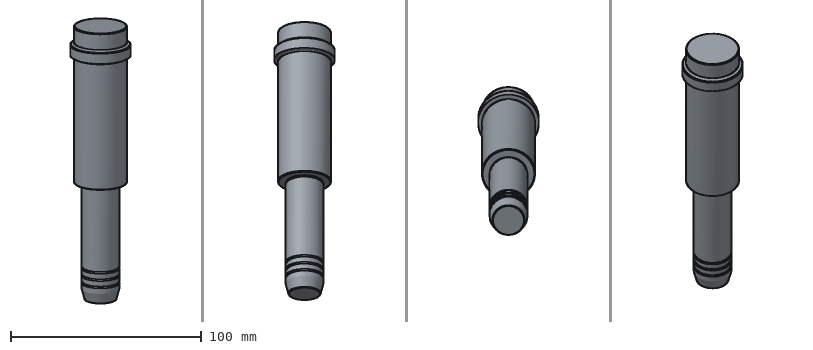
import cadquery as cq
import math

length = 150.0
body_diameter = 28.0
flange_diameter = 32.0
shank_diameter = 20.0

body_radius = body_diameter / 2
flange_radius = flange_diameter / 2
shank_radius = shank_diameter / 2

head_length = 10.0
flange_thickness = 6.0
body_length = 70.0
flange_top = length - head_length
flange_bottom = flange_top - flange_thickness
shoulder = flange_bottom - body_length

edge_chamfer = 0.5
groove_radius = 0.5
groove_width = 2 * groove_radius
undercut_width = 1.0
undercut_depth = 0.5

nose_height = 6.0
nose_taper_angle = 15.0
tip_chamfer = 0.4
nose_end_radius = shank_radius - (nose_height - tip_chamfer) * math.tan(math.radians(nose_taper_angle))

oil_groove_pitch = 4.0
oil_groove_count = 3
lowest_oil_groove = 9.0


def shaft():
    """Stepped shaft with chamfered edges and a tapered nose, as one revolved profile."""
    profile = (
        cq.Workplane("XZ")
        .lineTo(nose_end_radius - tip_chamfer, 0)
        .lineTo(nose_end_radius, tip_chamfer)
        .lineTo(shank_radius, nose_height)
        .lineTo(shank_radius, shoulder)
        .lineTo(body_radius - edge_chamfer, shoulder)
        .lineTo(body_radius, shoulder + edge_chamfer)
        .lineTo(body_radius, flange_bottom)
        .lineTo(flange_radius, flange_bottom)
        .lineTo(flange_radius, flange_top - edge_chamfer)
        .lineTo(flange_radius - edge_chamfer, flange_top)
        .lineTo(body_radius, flange_top)
        .lineTo(body_radius, length - edge_chamfer)
        .lineTo(body_radius - edge_chamfer, length)
        .lineTo(0, length)
        .close()
    )
    return profile.revolve(360, (0, 0, 0), (0, 1, 0))


def groove_ring(bottom, surface_radius):
    """Ring of material that a half-round groove removes from a cylinder of the given radius."""
    middle = bottom + groove_radius
    diagonal = groove_radius * math.sin(math.radians(45))
    return (
        cq.Workplane("XZ")
        .moveTo(surface_radius, bottom)
        .threePointArc((surface_radius - diagonal, middle - diagonal), (surface_radius - groove_radius, middle))
        .threePointArc((surface_radius - diagonal, middle + diagonal), (surface_radius, bottom + groove_width))
        .close()
        .revolve(360, (0, 0, 0), (0, 1, 0))
    )


def undercut_ring(bottom, width, outer_radius, depth):
    """Square-sided ring of material that an undercut removes from a cylinder."""
    return (
        cq.Workplane("XY", origin=(0, 0, bottom))
        .circle(outer_radius)
        .circle(outer_radius - depth)
        .extrude(width)
    )


result = shaft()

result = result.cut(groove_ring(flange_top, body_radius))
result = result.cut(groove_ring(flange_bottom - groove_width, body_radius))
result = result.cut(undercut_ring(shoulder - undercut_width, undercut_width, shank_radius, undercut_depth))

for index in range(oil_groove_count):
    groove_bottom = lowest_oil_groove + index * oil_groove_pitch
    result = result.cut(groove_ring(groove_bottom, shank_radius))